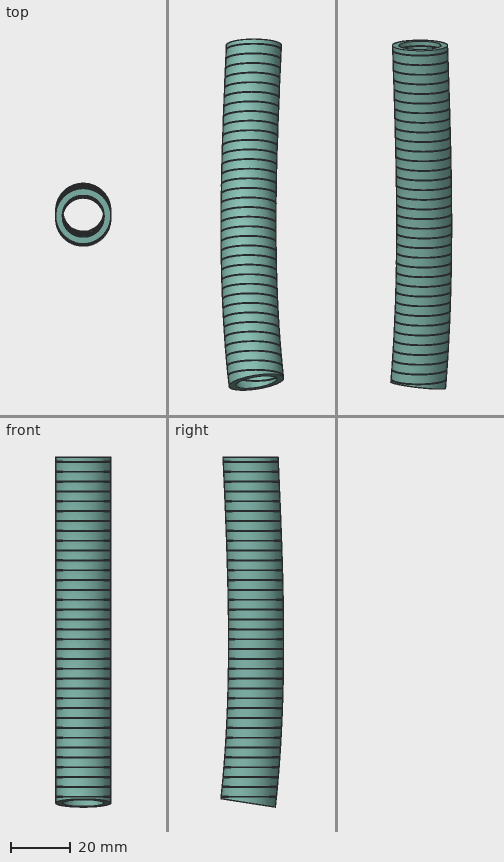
import cadquery as cq
import math

total_height = 117.4
outer_diameter = 18.5
bore_diameter = 14.0

top_slope = 0.045
bottom_slope = 0.11
bottom_offset = -0.8

bottom_tilt = math.atan(top_slope) + math.atan(bottom_slope)
bottom_depth = total_height - outer_diameter / 2 * math.sin(bottom_tilt)

groove_count = 35
groove_width = 0.29
groove_floor_skin = 0.1
first_groove_depth = 1.6
last_groove_depth = 113.8
groove_pitch = (last_groove_depth - first_groove_depth) / (groove_count - 1)
groove_floor_diameter = bore_diameter + 2 * groove_floor_skin
groove_ring_diameter = outer_diameter + 2.3

pole_spacing = bottom_depth / 3
pole_offsets = [
    0,
    top_slope * pole_spacing,
    bottom_offset + bottom_slope * pole_spacing,
    bottom_offset,
]


def bent_rod(diameter):
    """Sweep a horizontal circle from the top face down the centre line."""
    poles = [
        cq.Vector(0, offset, -index * pole_spacing)
        for index, offset in enumerate(pole_offsets)
    ]
    centre_line = cq.Workplane(obj=cq.Edge.makeBezier(poles))
    return cq.Workplane("XY").circle(diameter / 2).sweep(centre_line)


def centre_offset(depth):
    """Y of the centre line at a given depth, from the cubic Bezier formula."""
    t = depth / bottom_depth
    return sum(
        math.comb(3, index) * t**index * (1 - t) ** (3 - index) * offset
        for index, offset in enumerate(pole_offsets)
    )


def groove_rings():
    """Thin horizontal rings, each centred on the bent centre line at its own depth."""
    ring = (
        cq.Workplane("XY", origin=(0, 0, -groove_width / 2))
        .circle(groove_ring_diameter / 2)
        .circle(groove_floor_diameter / 2)
        .extrude(groove_width)
        .val()
    )
    depths = [first_groove_depth + index * groove_pitch for index in range(groove_count)]
    centres = [(0, centre_offset(depth), -depth) for depth in depths]
    return cq.Workplane("XY").pushPoints(centres).eachpoint(ring.moved).combine()


tube = bent_rod(outer_diameter).cut(bent_rod(bore_diameter))
result = tube.cut(groove_rings()).solids()